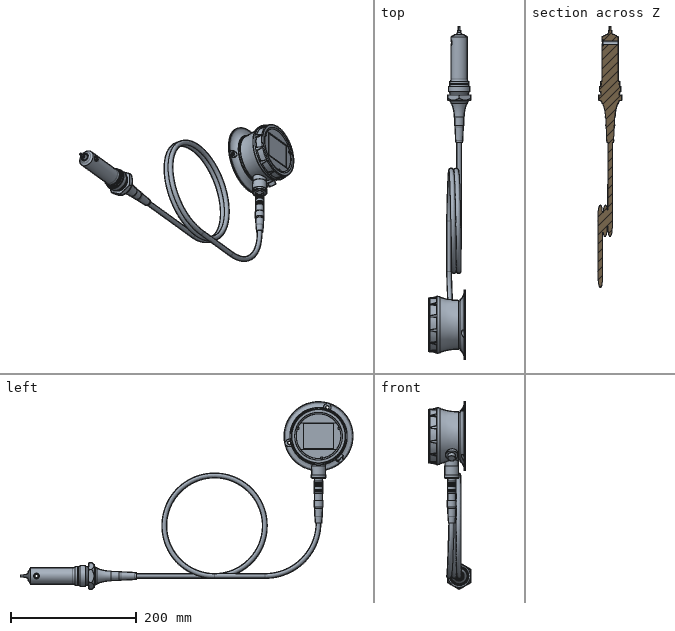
import math
import cadquery as cq

FLANGE_RADIUS = 55.0
FLANGE_THICKNESS = 2.3
WAIST_RADIUS = 39.0
WAIST_END_X = -11.5
GROOVE_RADIUS = 38.0
FLARE_END_X = -8.5
FLARE_END_RADIUS = 40.0
FLARE_MIDDLE = (-4.2, 45.3)
WAIST_MIDDLE = (-26.0, 40.2)
FLARE_RADIUS = 53.0
BODY_FRONT_X = -40.4
BODY_FRONT_RADIUS = 44.0
FACE_X = -58.5
FACE_RADIUS = 42.5
CAP_RADIUS = 45.7
CAP_REAR_RADIUS = 44.8
GRIP_RADIUS = 43.2
GRIP_START_X = -56.5
GRIP_END_X = -46.0
CAP_CREST_X = -45.0
RIB_COUNT = 12
RIB_PHASE = 11.5
RIB_TIP_WIDTH = 1.6
RIB_ROOT_WIDTH = 5.5

BEZEL_OUTER_RADIUS = 38.0
BEZEL_INNER_RADIUS = 35.5
BEZEL_DEPTH = 1.0
BAND_HEIGHT = 42.0
SCREEN_WIDTH = 48.0
SCREEN_HEIGHT = 40.0
STEP_DEPTH = 0.5
FACE_SCREW_DIAMETER = 3.4
FACE_SCREW_CIRCLE = 35.0
FACE_SCREW_ANGLES = (21, 159, 262)

MOUNT_COUNT = 3
MOUNT_FIRST_ANGLE = 107
MOUNT_CIRCLE = 47.8
MOUNT_HOLE_DIAMETER = 5.1
MOUNT_SPOTFACE_DIAMETER = 12.0

OUTLET_X = -22.0
PLUG_ANGLE = 225
PLUG_BOSS_DIAMETER = 20.0
PLUG_BOSS_RADIUS = 43.0
PLUG_DIAMETER = 12.0
PLUG_END_RADIUS = 50.0

OUTLET_TOP_Z = -30.0
PLUG_BODY_RADIUS = 6.9
GROOVE_COUNT_UPPER = 3
GROOVE_COUNT_LOWER = 2
OUTLET_BANDS = [
    (17.3, 10.8, 10.8),
    (14.7, 11.2, 11.2),
    (3.5, 11.8, 11.8),
    (2.0, 10.8, 10.8),
    (3.5, 6.6, 6.6),
    (3.0, PLUG_BODY_RADIUS, PLUG_BODY_RADIUS),
]
GROOVE_BANDS = [
    (1.2, 6.2, 6.2),
    (1.2, PLUG_BODY_RADIUS, PLUG_BODY_RADIUS),
]
PLAIN_BAND = (4.0, PLUG_BODY_RADIUS, PLUG_BODY_RADIUS)
RELIEF_BANDS = [
    (1.0, PLUG_BODY_RADIUS, PLUG_BODY_RADIUS),
    (11.8, 6.5, 6.5),
    (10.2, 7.2, 7.2),
    (2.5, 6.4, 6.4),
    (12.5, 6.6, 6.0),
    (10.6, 6.0, 5.1),
]

CABLE_DIAMETER = 7.8
BEND_RADIUS = 85.0
COIL_RADIUS = 80.0
COIL_TURNS = 2
COIL_LEAN = 2.5
COIL_CENTER_Y = 165.5
RUN_X = -26.0
POINTS_PER_TURN = 12

PROBE_X = -10.03
PROBE_Z = -222.6
PROBE_TIP_Y = 474.49
NUT_CORNER_RADIUS = 21.32
NUT_FRONT_Y = 366.0
NUT_BACK_Y = 357.0
NUT_BEVEL_FRONT_Y = 365.0
NUT_BEVEL_BACK_Y = 361.0
NUT_END_RADIUS = 18.0
NUT_FRONT_BEVEL = 1.0
PORT_Y = 449.0
PORT_DIAMETER = 5.1
PORT_RECESS_DIAMETER = 9.0
PORT_RECESS_DEPTH = 2.0
PROBE_RADIUS = 13.2
RING_RADIUS = 15.3

PROBE_BANDS = [
    (5.99, 1.7, 1.7),
    (3.0, 2.55, 2.55),
    (3.0, 2.55, 4.5),
    (2.0, 6.5, 9.5),
    (2.0, 9.5, PROBE_RADIUS),
    (67.1, PROBE_RADIUS, PROBE_RADIUS),
    (3.9, PROBE_RADIUS, 13.8),
    (3.5, RING_RADIUS, RING_RADIUS),
    (1.5, 14.6, 14.6),
    (3.0, RING_RADIUS, RING_RADIUS),
    (8.5, 17.0, 17.0),
    (2.2, RING_RADIUS, RING_RADIUS),
    (2.8, 14.8, 14.8),
    (9.0, RING_RADIUS, RING_RADIUS),
    (2.0, RING_RADIUS, 14.0),
    (2.5, 13.4, 13.4),
]

SLEEVE_LENGTH = 22.0
SLEEVE_START_Y = PROBE_TIP_Y - sum(length for length, *_ in PROBE_BANDS)
SLEEVE_NECK_Y = SLEEVE_START_Y - SLEEVE_LENGTH
SLEEVE_ROOT_RADIUS = 12.4
SLEEVE_THROAT = (9.7, SLEEVE_START_Y - 8.0)
SLEEVE_NECK_RADIUS = 8.0

PROBE_RELIEF_BANDS = [
    (13.0, 7.5, 7.3),
    (3.0, 6.8, 6.8),
    (21.5, 6.8, 5.8),
    (3.0, 5.8, 5.3),
]
PROBE_END_Y = SLEEVE_NECK_Y - sum(length for length, *_ in PROBE_RELIEF_BANDS)

OVERLAP = 3.0


def turned(outline, axis):
    """Solid of revolution; outline lists (position along axis, radius), closed on the axis."""
    direction = cq.Vector(*axis)
    across = cq.Vector(0, 0, 1) if axis[2] == 0 else cq.Vector(1, 0, 0)
    plane = cq.Plane(origin=(0, 0, 0), xDir=direction, normal=direction.cross(across))
    start, end = outline[0][0], outline[-1][0]
    wire = cq.Workplane(plane).polyline([(start, 0)] + list(outline) + [(end, 0)]).close()
    return wire.revolve(360, (0, 0, 0), (1, 0, 0))


def banded(start, bands):
    """Outline of consecutive bands, each starting where the last ends and running down the axis."""
    outline = []
    for length, start_radius, end_radius in bands:
        if not outline or outline[-1][1] != start_radius:
            outline.append((start, start_radius))
        start -= length
        outline.append((start, end_radius))
    return outline


def along_x(radius, start, end):
    return cq.Workplane("YZ").workplane(offset=start).circle(radius).extrude(end - start)


def housing_body():
    """Foot, flare, waist and bell of the housing."""
    return (
        cq.Workplane("XY")
        .moveTo(0, 0)
        .lineTo(0, FLANGE_RADIUS)
        .lineTo(-FLANGE_THICKNESS, FLANGE_RADIUS)
        .lineTo(-FLANGE_THICKNESS, FLARE_RADIUS)
        .threePointArc(FLARE_MIDDLE, (FLARE_END_X, FLARE_END_RADIUS))
        .lineTo(FLARE_END_X, GROOVE_RADIUS)
        .lineTo(WAIST_END_X, GROOVE_RADIUS)
        .lineTo(WAIST_END_X, WAIST_RADIUS)
        .threePointArc(WAIST_MIDDLE, (BODY_FRONT_X, BODY_FRONT_RADIUS))
        .lineTo(BODY_FRONT_X, 0)
        .close()
        .revolve(360, (0, 0, 0), (1, 0, 0))
    )


def cap():
    """Screwed cap with tapered grip ribs."""
    shape = turned(
        [
            (FACE_X, FACE_RADIUS),
            (GRIP_START_X, GRIP_RADIUS),
            (GRIP_END_X, GRIP_RADIUS),
            (CAP_CREST_X, CAP_RADIUS),
            (BODY_FRONT_X, CAP_REAR_RADIUS),
        ],
        (1, 0, 0),
    )
    cone = turned([(FACE_X, FACE_RADIUS), (CAP_CREST_X, CAP_RADIUS)], (1, 0, 0))
    wedge = (
        cq.Workplane("XY")
        .workplane(offset=GRIP_RADIUS - OVERLAP)
        .polyline(
            [
                (GRIP_START_X, -RIB_TIP_WIDTH / 2),
                (GRIP_START_X, RIB_TIP_WIDTH / 2),
                (CAP_CREST_X, RIB_ROOT_WIDTH / 2),
                (CAP_CREST_X, -RIB_ROOT_WIDTH / 2),
            ]
        )
        .close()
        .extrude(2 * OVERLAP)
    )
    rib = cone.intersect(wedge)
    for number in range(RIB_COUNT):
        angle = RIB_PHASE + number * 360 / RIB_COUNT
        shape = shape.union(rib.rotate((0, 0, 0), (1, 0, 0), angle))
    return shape


def cut_window(shape):
    """Bevelled bezel, sunken band, screen and screw holes in the front face."""
    floor_x = FACE_X + BEZEL_DEPTH
    shape = shape.cut(
        turned([(FACE_X, BEZEL_OUTER_RADIUS), (floor_x, BEZEL_INNER_RADIUS)], (1, 0, 0))
    )
    band = cq.Workplane("YZ").workplane(offset=floor_x).rect(2 * BEZEL_INNER_RADIUS, BAND_HEIGHT)
    band = band.extrude(STEP_DEPTH).intersect(
        along_x(BEZEL_INNER_RADIUS, floor_x, floor_x + STEP_DEPTH)
    )
    screen = (
        cq.Workplane("YZ")
        .workplane(offset=floor_x)
        .rect(SCREEN_WIDTH, SCREEN_HEIGHT)
        .extrude(2 * STEP_DEPTH)
    )
    shape = shape.cut(band).cut(screen)
    hole = along_x(FACE_SCREW_DIAMETER / 2, FACE_X, floor_x + 2 * STEP_DEPTH)
    for angle in FACE_SCREW_ANGLES:
        place = hole.translate((0, FACE_SCREW_CIRCLE, 0))
        shape = shape.cut(place.rotate((0, 0, 0), (1, 0, 0), angle))
    return shape


def cut_mounting_holes(shape):
    hole = along_x(MOUNT_HOLE_DIAMETER / 2, -FLANGE_THICKNESS, 0)
    spotface = along_x(MOUNT_SPOTFACE_DIAMETER / 2, WAIST_END_X, -FLANGE_THICKNESS)
    tool = hole.union(spotface).translate((0, MOUNT_CIRCLE, 0))
    for number in range(MOUNT_COUNT):
        angle = MOUNT_FIRST_ANGLE + number * 360 / MOUNT_COUNT
        shape = shape.cut(tool.rotate((0, 0, 0), (1, 0, 0), angle))
    return shape


def plug():
    boss = cq.Workplane("XZ").circle(PLUG_BOSS_DIAMETER / 2).extrude(-PLUG_BOSS_RADIUS)
    head = cq.Workplane("XZ").circle(PLUG_DIAMETER / 2).extrude(-PLUG_END_RADIUS)
    return boss.union(head).translate((OUTLET_X, 0, 0)).rotate((0, 0, 0), (1, 0, 0), PLUG_ANGLE)


def connector():
    """Outlet boss, plug connector and strain relief hanging below the housing."""
    grooves = GROOVE_COUNT_UPPER * GROOVE_BANDS + [PLAIN_BAND] + GROOVE_COUNT_LOWER * GROOVE_BANDS
    bands = OUTLET_BANDS + grooves + RELIEF_BANDS
    return turned(banded(OUTLET_TOP_Z, bands), (0, 0, 1)).translate((OUTLET_X, 0, 0))


def winding(center_y, radius, start_angle, turns, start_x, end_x, lean):
    """Points winding about an X-parallel axis while drifting evenly from start_x to end_x.

    The top of a full turn leans sideways by the given amount.
    """
    count = math.ceil(POINTS_PER_TURN * turns)
    points = []
    for step in range(count + 1):
        t = step / count
        angle = start_angle + 2 * math.pi * turns * t
        x = start_x + (end_x - start_x) * t + lean * (1 + math.sin(angle)) / 2
        y = center_y + radius * math.cos(angle)
        z = PROBE_Z + radius + radius * math.sin(angle)
        points.append(cq.Vector(x, y, z))
    return points


def cable():
    """Bend below the housing, straight run, coil and straight lead to the probe."""
    down = cq.Vector(0, 0, -1)
    outward = cq.Vector(0, 1, 0)
    bend = winding(BEND_RADIUS, BEND_RADIUS, math.pi, 0.25, OUTLET_X, RUN_X, 0)
    coil = winding(COIL_CENTER_Y, COIL_RADIUS, -math.pi / 2, COIL_TURNS, RUN_X, PROBE_X, COIL_LEAN)
    inside_connector = bend[0] - down * OVERLAP
    inside_probe = cq.Vector(PROBE_X, PROBE_END_Y + OVERLAP, PROBE_Z)
    sections = [
        cq.Edge.makeLine(inside_connector, bend[0]),
        cq.Edge.makeSpline(bend, [down, outward], scale=False),
        cq.Edge.makeLine(bend[-1], coil[0]),
        cq.Edge.makeSpline(coil, [outward, outward], scale=False),
        cq.Edge.makeLine(coil[-1], inside_probe),
    ]
    shape = cq.Workplane("XY")
    for section in sections:
        start = cq.Workplane(cq.Plane(section.startPoint(), (1, 0, 0), section.tangentAt(0)))
        piece = start.circle(CABLE_DIAMETER / 2).sweep(cq.Workplane(section))
        shape = shape.union(piece)
    return shape


def nut():
    hexagon = (
        cq.Workplane("XZ", origin=(0, NUT_BACK_Y, 0))
        .polygon(6, 2 * NUT_CORNER_RADIUS)
        .extrude(NUT_BACK_Y - NUT_FRONT_Y)
        .rotate((0, 0, 0), (0, 1, 0), 90)
    )
    bevel = turned(
        [
            (NUT_BACK_Y, NUT_END_RADIUS),
            (NUT_BEVEL_BACK_Y, NUT_CORNER_RADIUS),
            (NUT_BEVEL_FRONT_Y, NUT_CORNER_RADIUS),
            (NUT_FRONT_Y, NUT_CORNER_RADIUS - NUT_FRONT_BEVEL),
        ],
        (0, 1, 0),
    )
    return hexagon.intersect(bevel)


def probe_sleeve():
    """Flared sleeve and tapered strain relief at the cable end of the probe."""
    sleeve = (
        cq.Workplane("XY")
        .moveTo(0, SLEEVE_START_Y)
        .lineTo(SLEEVE_ROOT_RADIUS, SLEEVE_START_Y)
        .threePointArc(SLEEVE_THROAT, (SLEEVE_NECK_RADIUS, SLEEVE_NECK_Y))
        .lineTo(0, SLEEVE_NECK_Y)
        .close()
        .revolve(360, (0, 0, 0), (0, 1, 0))
    )
    return sleeve.union(turned(banded(SLEEVE_NECK_Y, PROBE_RELIEF_BANDS), (0, 1, 0)))


def probe():
    """Sensor tip, barrel with a cross port, union nut and cable sleeve."""
    outline = banded(PROBE_TIP_Y, PROBE_BANDS)
    shape = turned(outline, (0, 1, 0)).union(nut()).union(probe_sleeve())
    port = along_x(PORT_DIAMETER / 2, -PROBE_RADIUS, PROBE_RADIUS)
    recess = along_x(PORT_RECESS_DIAMETER / 2, -PROBE_RADIUS, PORT_RECESS_DEPTH - PROBE_RADIUS)
    shape = shape.cut(port.union(recess).translate((0, PORT_Y, 0)))
    return shape.translate((PROBE_X, 0, PROBE_Z))


housing = cut_mounting_holes(housing_body()).union(cut_window(cap()))
result = housing.union(plug()).union(connector()).union(cable()).union(probe())